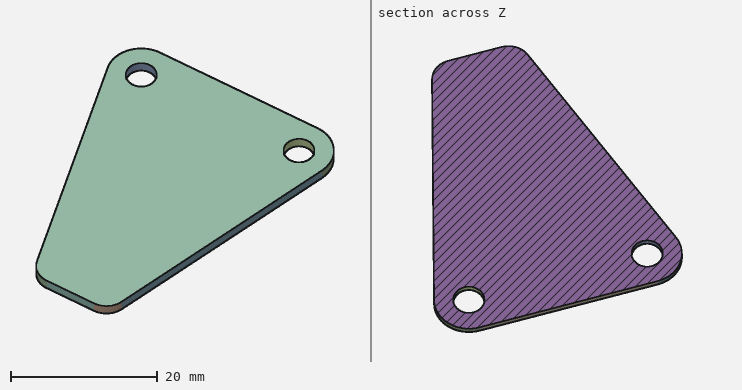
import cadquery as cq
import math

width = 34.95
length = 42.85
thickness = 1.6
hole_pitch = 25.4
hole_diameter = 4.2
bottom_flat = 7.6
bottom_radius = 3.17

top_radius = (width - hole_pitch) / 2
top_x = hole_pitch / 2
top_y = length / 2 - top_radius
bottom_x = bottom_flat / 2
bottom_y = -length / 2 + bottom_radius

run = top_x - bottom_x
rise = top_y - bottom_y
normal_angle = math.atan2(run, rise) + math.asin((top_radius - bottom_radius) / math.hypot(run, rise))


def corner_point(center_x, center_y, radius, angle):
    """Point on a right-hand corner arc, at an angle from the +X axis."""
    return (center_x + radius * math.cos(angle), center_y + radius * math.sin(angle))


def mirrored(point):
    """The matching point on the left side."""
    return (-point[0], point[1])


up = math.pi / 2
down = -math.pi / 2
top_end = corner_point(top_x, top_y, top_radius, up)
top_mid = corner_point(top_x, top_y, top_radius, (up - normal_angle) / 2)
top_side = corner_point(top_x, top_y, top_radius, -normal_angle)
bottom_side = corner_point(bottom_x, bottom_y, bottom_radius, -normal_angle)
bottom_mid = corner_point(bottom_x, bottom_y, bottom_radius, (down - normal_angle) / 2)
bottom_end = corner_point(bottom_x, bottom_y, bottom_radius, down)

plate = (
    cq.Workplane("XY")
    .moveTo(*mirrored(top_end))
    .lineTo(*top_end)
    .threePointArc(top_mid, top_side)
    .lineTo(*bottom_side)
    .threePointArc(bottom_mid, bottom_end)
    .lineTo(*mirrored(bottom_end))
    .threePointArc(mirrored(bottom_mid), mirrored(bottom_side))
    .lineTo(*mirrored(top_side))
    .threePointArc(mirrored(top_mid), mirrored(top_end))
    .close()
    .extrude(thickness)
)

holes = (
    cq.Workplane("XY")
    .pushPoints([(-top_x, top_y), (top_x, top_y)])
    .circle(hole_diameter / 2)
    .extrude(thickness)
)

result = plate.cut(holes)